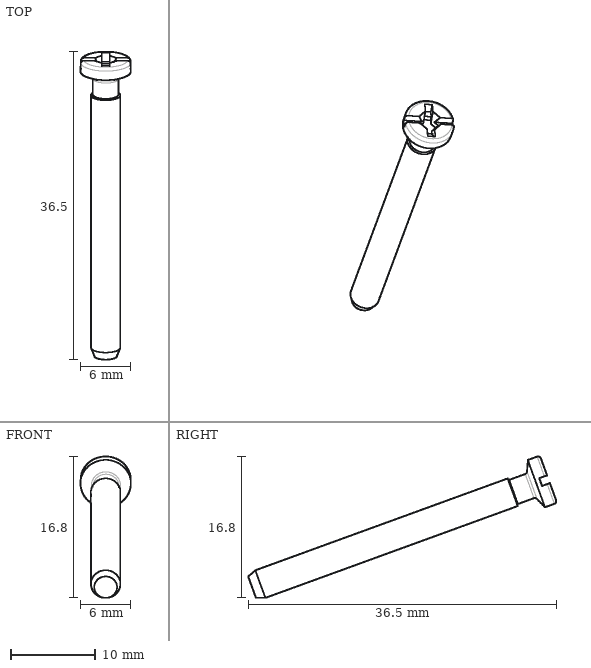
import cadquery as cq
import math

span_y = 36.53
tilt = 20.0

head_radius = 3.0
head_round = 0.35
rim_end = 1.55
cone_end = 2.2

neck_radius = 1.55
neck_fillet = 0.33
shaft_radius = 1.75
shaft_start = 4.53
shoulder = 0.1
tip_radius = 1.35
tip_taper = 1.05

slot_width = 0.95
slot_depth = 1.0
draft = 20.0
wing_width = 0.9
wing_reach = 2.3
core_reach = 1.6
core_corner = 1.75
core_depth = 1.45

cos_tilt = math.cos(math.radians(tilt))
sin_tilt = math.sin(math.radians(tilt))
rim_centre = head_radius - head_round
length = head_round + (
    span_y - head_round - (tip_radius + rim_centre) * sin_tilt
) / cos_tilt


def make_body():
    """Revolve the screw about Z, head face at Z = 0 and tip below it."""
    profile = (
        cq.Workplane("XZ")
        .moveTo(0, 0)
        .lineTo(head_radius, 0)
        .lineTo(head_radius, -rim_end)
        .lineTo(neck_radius, -cone_end)
        .lineTo(neck_radius, -(shaft_start - shoulder))
        .lineTo(shaft_radius, -shaft_start)
        .lineTo(shaft_radius, -(length - tip_taper))
        .lineTo(tip_radius, -length)
        .lineTo(0, -length)
        .close()
    )
    body = profile.revolve(360, (0, 0, 0), (0, 1, 0))
    body = body.faces(">Z").edges().fillet(head_round)
    neck_edge = cq.selectors.NearestToPointSelector((0, 0, -cone_end))
    return body.edges(neck_edge).fillet(neck_fillet)


def make_wing(reach, depth):
    """Groove across the slot, with parallel sides and ends that slope inward."""
    floor_reach = reach - depth * math.tan(math.radians(draft))
    return (
        cq.Workplane("YZ")
        .polyline([(-reach, 0), (reach, 0), (floor_reach, -depth), (-floor_reach, -depth)])
        .close()
        .extrude(wing_width / 2, both=True)
    )


def make_core():
    """Square pit with tapered walls, its corners in line with the slot and the wing."""
    side = core_corner * math.sqrt(2)
    return (
        cq.Workplane("XY")
        .transformed(rotate=(0, 0, 45))
        .rect(side, side)
        .extrude(-core_depth, taper=draft)
    )


def make_recess():
    """Join the slot, both steps of the wing and the core into one cutting solid."""
    slot = cq.Workplane("XY").box(2 * head_radius, slot_width, 2 * slot_depth)
    outer_wing = make_wing(wing_reach, slot_depth)
    inner_wing = make_wing(core_reach, core_depth)
    return slot.union(outer_wing).union(inner_wing).union(make_core())


screw = make_body().cut(make_recess())

result = screw.rotate((0, 0, 0), (1, 0, 0), tilt - 90)